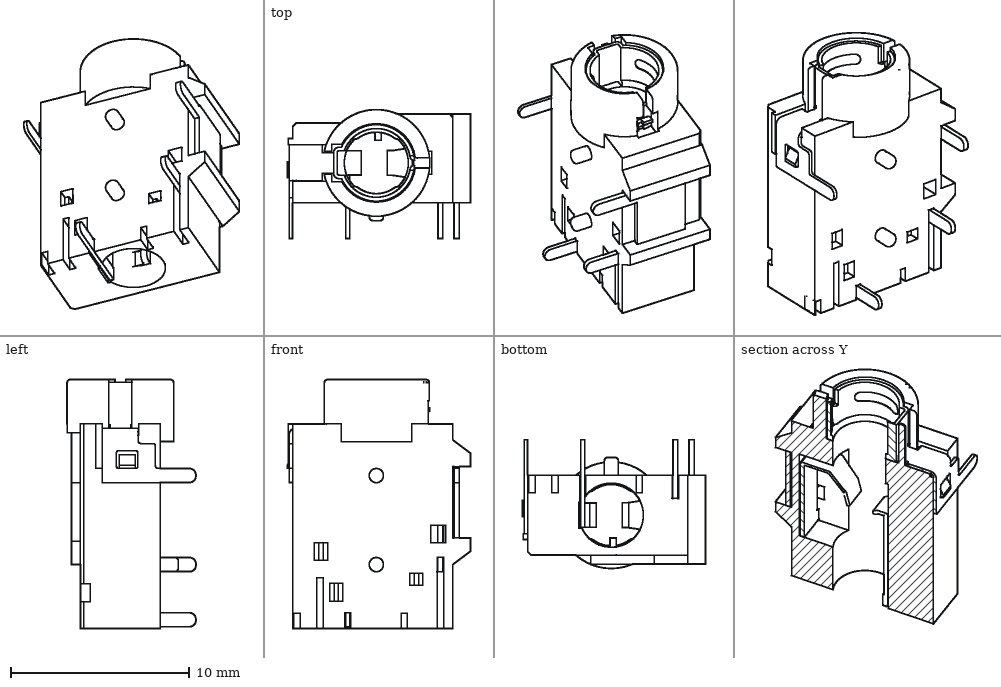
import cadquery as cq
import math


BODY_LEFT = -4.7
BODY_RIGHT = 4.3
BODY_HALF_DEPTH = 2.25
BODY_TOP = 11.5
BACK_CORNER = 0.2
FRONT_FACE = -BODY_HALF_DEPTH

BARREL_RADIUS = 3.0
BARREL_TOP = 14.0
BARREL_FRONT_BOTTOM = 10.5
BARREL_BACK_BOTTOM = 11.0
BARREL_ROUND = 0.2
BORE_RADIUS = 1.8
SLEEVE_SEAT_RADIUS = 2.2

REAR_FACE = 2.75
REAR_BOTTOM = 3.6
REAR_RAMP_LOW = 4.9
REAR_RAMP_HIGH = 8.2
REAR_LEFT_HIGH = -1.15
REAR_LEFT_LOW = 2.4
HOOK_REACH = 1.0
HOOK_TIP = 0.75
HOOK_HEIGHT = 1.5
HOOK_MIDDLE = 7.1
HOOK_INNER_OFFSET = 2.0

PIN_RADIUS = 0.4
PIN_LENGTH = 1.0
PIN_ROUND = 0.2
PIN_HEIGHTS = (3.6, 8.6)

SHEET = 0.2
LEG_END = -4.25
LEG_WIDTH = 0.8
LEG_ROUND = 0.38

CLIP_HALF_WIDTH = 1.03
CLIP_TOP = 11.27
CLIP_BOTTOM = 8.2
CLIP_BEND = 0.4
CLIP_OUTSIDE = BODY_LEFT - SHEET
CLIP_FRONT = -1.0
CLIP_STEP_FRONT = -1.97
CLIP_STEP_TOP = 10.4
CLIP_STEP_ROUND = 0.15
CLIP_WINDOW_WIDTH = 1.2
CLIP_WINDOW_Y = -0.38
CLIP_WINDOW_BOTTOM = 9.0
CLIP_WINDOW_TOP = 10.0
CLIP_WINDOW_ROUND = 0.12
CLIP_END = -3.05
NECK_HALF_WIDTH = 0.58
NECK_BEND = 0.18
SLEEVE_RADIUS = 2.15
SLEEVE_INNER_RADIUS = 1.93
SLEEVE_TOP = 13.85
SLEEVE_BOTTOM = CLIP_TOP - SHEET
BULGE_OUTSIDE = -2.4
BULGE_HALF_WIDTH = 0.88
BULGE_ROUND = 0.3
BEAD_HEIGHT = 12.8
BEAD_RADIUS = 2.07
BEAD_TUBE = 0.35
BEAD_ARC = 72
NOTCH_HALF_WIDTH = 0.4
NOTCH_BOTTOM = 12.8
SLIT_HALF_WIDTH = 0.15
SLIT_ROUND = 0.2
LIP_TOP = 11.45
LIP_ROUND = 0.12
TONGUE_HALF_WIDTH = 0.28
TONGUE_BEND = 0.9
TONGUE_START = 2.1
TONGUE_BASE = 11.5

LUG_WIDTH = 0.91
LUG_REACH = 0.3
LUG_TOP = 9.77
LUG_LIP = 9.18
CLIP_RIB_REACH = 0.25
CLIP_RIB_WIDTH = 0.35
CLIP_RIB_BOTTOM = 9.0

CHANNEL_LEFT = -2.5
CHANNEL_HALF_WIDTH = 1.05
WIDE_SLOT_HALF_WIDTH = 0.65
NARROW_SLOT_HALF_WIDTH = 0.3
NARROW_SLOT_BOTTOM = 12.8
WIDE_SLOT_END = 3.11

TIP_X = -1.72
TIP_LEAF_X = -1.8
TIP_GAUGE = 0.24
TIP_LEG_BOTTOM = 0.1
TIP_HALF_WIDTH = 0.69
TIP_SPRING_TOP = 7.0
TIP_SHELF_END = -1.18
TIP_NOSE_X = -0.96
TIP_NOSE_DROP = 0.12
TIP_CLEARANCE = 0.04

RING_X = 3.46
RING_GAUGE = 0.28
RING_LEG_BOTTOM = 3.2
RING_HALF_WIDTH = 0.85
RING_TIP_HALF_WIDTH = 0.7
RING_SPRING_TOP = 8.6
RING_SPRING_POINTS = ((1.9, 8.6), (0.9, 7.5), (0.7, 6.7))
RING_CAVITY_HALF_WIDTH = 0.95
RING_CAVITY_TOP = 9.2
RING_CLEARANCE = 0.04

SIDE_X = 4.36
SIDE_GAUGE = 0.3
SIDE_PLATE_FRONT = -1.5
SIDE_PLATE_BACK = 1.5

SWITCH_GROOVE_DEPTH = 0.55
SWITCH_BOTTOM = 1.5
SWITCH_HEIGHT = 1.02
SWITCH_LEFT = -3.5
SWITCH_BLADE_LEFT = -0.08
SWITCH_BLADE_RIGHT = 0.28
SWITCH_TIP_Y = 1.27
SWITCH_TIP_ROUND = 0.3

WINDOW_DEPTH = 0.6
GROOVED_WINDOWS = (
    (-3.11, 0.74, 3.83, 4.84),
    (-2.25, 0.74, 1.53, 2.54),
    (2.25, 0.74, 2.43, 3.11),
)
WINDOW_GROOVE_WIDTH = 0.25
WINDOW_GROOVE_DEPTH = 0.4
RING_WINDOW = (3.49, 0.84, 4.84, 5.8)
SLOT_DEPTH = 1.0
SLOT_WIDTH = 0.35
SHORT_SLOT_HEIGHT = 0.86
LONG_SLOT_HEIGHT = 2.87
SHORT_SLOT_CENTRES = (-4.455, 1.575)
LONG_SLOT_CENTRE = -3.165


def block(x0, x1, y0, y1, z0, z1):
    """Box between two opposite corners."""
    return cq.Workplane("XY").box(x1 - x0, y1 - y0, z1 - z0, centered=False).translate((x0, y0, z0))


def cylinder(radius, z0, z1):
    """Cylinder on the barrel axis."""
    return cq.Workplane("XY").workplane(offset=z0).circle(radius).extrude(z1 - z0)


def leg(x0, gauge, z0, inner_y, tip_round=LEG_ROUND):
    """Flat solder leg that ends at LEG_END with rounded corners."""
    blade = block(x0, x0 + gauge, LEG_END, inner_y, z0, z0 + LEG_WIDTH)
    return blade.edges("|X and <Y").fillet(tip_round)


def strip(points, gauge, half_width):
    """Bent sheet strip whose mid line lies in the XZ plane."""
    path = cq.Workplane("XZ").polyline(points).offset2D(gauge / 2)
    return path.extrude(half_width, both=True)


def hook(direction):
    """Wedge on the +X side; direction +1 slopes up and -1 slopes down."""
    inner = HOOK_MIDDLE + direction * HOOK_INNER_OFFSET
    tip_x = BODY_RIGHT + HOOK_REACH
    profile = cq.Workplane("XZ", origin=(0, REAR_FACE, 0)).polyline([
        (BODY_RIGHT - BACK_CORNER, inner),
        (tip_x, inner),
        (tip_x, inner + direction * HOOK_TIP),
        (BODY_RIGHT, inner + direction * HOOK_HEIGHT),
        (BODY_RIGHT - BACK_CORNER, inner + direction * HOOK_HEIGHT),
    ])
    return profile.close().extrude(REAR_FACE + BODY_HALF_DEPTH)


def rear_pad():
    """Thicker wall behind the bore, with an undercut ramp on its left edge."""
    profile = cq.Workplane("XZ", origin=(0, REAR_FACE, 0)).polyline([
        (REAR_LEFT_HIGH, BODY_TOP),
        (BODY_RIGHT, BODY_TOP),
        (BODY_RIGHT, REAR_BOTTOM),
        (REAR_LEFT_LOW, REAR_BOTTOM),
        (REAR_LEFT_LOW, REAR_RAMP_LOW),
        (REAR_LEFT_HIGH, REAR_RAMP_HIGH),
    ])
    pad = profile.close().extrude(REAR_FACE)
    return pad.edges("|Z and >X and >Y").chamfer(BACK_CORNER)


def barrel():
    """Round mouth, reaching lower on the board side than on the back."""
    tube = cylinder(BARREL_RADIUS, BARREL_BACK_BOTTOM, BARREL_TOP).faces(">Z").edges().fillet(BARREL_ROUND)
    front_skirt = cylinder(BARREL_RADIUS, BARREL_FRONT_BOTTOM, BODY_TOP).intersect(
        block(-BARREL_RADIUS, BARREL_RADIUS, -BARREL_RADIUS, 0, BARREL_FRONT_BOTTOM, BODY_TOP)
    )
    return tube.union(front_skirt)


def snap_lug():
    """Ramp that holds the clip by its window."""
    back_y = CLIP_WINDOW_Y + LUG_WIDTH / 2
    profile = cq.Workplane("XZ", origin=(0, back_y, 0)).polyline([
        (BODY_LEFT, LUG_TOP),
        (BODY_LEFT - LUG_REACH, LUG_LIP),
        (BODY_LEFT - LUG_REACH, CLIP_WINDOW_BOTTOM),
        (BODY_LEFT, CLIP_WINDOW_BOTTOM),
    ])
    return profile.close().extrude(LUG_WIDTH)


def locating_pin(height):
    """Round-ended peg on the board face."""
    pin = cq.Workplane("XZ", origin=(0, FRONT_FACE, height)).circle(PIN_RADIUS).extrude(PIN_LENGTH)
    return pin.faces("<Y").edges().fillet(PIN_ROUND)


def face_opening(centre_x, width, z0, z1, depth):
    """Rectangular cutter that enters the board face."""
    half = width / 2
    return block(centre_x - half, centre_x + half, FRONT_FACE, FRONT_FACE + depth, z0, z1)


def sleeve_space():
    """Space in the barrel for the sleeve, its bulge, neck and tongue."""
    space = cylinder(SLEEVE_SEAT_RADIUS, SLEEVE_BOTTOM, BARREL_TOP)
    space = space.union(block(CHANNEL_LEFT, 0, -CHANNEL_HALF_WIDTH, CHANNEL_HALF_WIDTH,
                              SLEEVE_BOTTOM, BARREL_TOP))
    space = space.union(block(-BARREL_RADIUS, 0, -WIDE_SLOT_HALF_WIDTH, WIDE_SLOT_HALF_WIDTH,
                              SLEEVE_BOTTOM, BARREL_TOP))
    space = space.union(block(0, BARREL_RADIUS, -NARROW_SLOT_HALF_WIDTH, NARROW_SLOT_HALF_WIDTH,
                              SLEEVE_BOTTOM, BARREL_TOP))
    return space.union(block(0, WIDE_SLOT_END, -WIDE_SLOT_HALF_WIDTH, WIDE_SLOT_HALF_WIDTH,
                             SLEEVE_BOTTOM, NARROW_SLOT_BOTTOM))


def terminal_spaces():
    """Cutters for the terminals and the switch contact inside the block."""
    tip_left = TIP_X - TIP_CLEARANCE
    tip_right = TIP_X + TIP_GAUGE + TIP_CLEARANCE
    tip_half = TIP_HALF_WIDTH + TIP_CLEARANCE
    tip_slot = block(tip_left, tip_right, FRONT_FACE, 0, 0, TIP_LEG_BOTTOM + LEG_WIDTH)
    tip_cavity = block(TIP_LEAF_X - TIP_CLEARANCE, tip_right, -tip_half, tip_half, 0, RING_CAVITY_TOP)

    ring_left = RING_X - RING_CLEARANCE
    ring_right = RING_X + RING_GAUGE + RING_CLEARANCE
    ring_slot = block(ring_left, ring_right, FRONT_FACE, -RING_CAVITY_HALF_WIDTH,
                      0, RING_LEG_BOTTOM + LEG_WIDTH)
    ring_cavity = block(0, ring_right, -RING_CAVITY_HALF_WIDTH, RING_CAVITY_HALF_WIDTH,
                        RING_LEG_BOTTOM, RING_CAVITY_TOP)
    ring_window = face_opening(*RING_WINDOW, BODY_HALF_DEPTH - RING_CAVITY_HALF_WIDTH)

    switch_top = SWITCH_BOTTOM + SWITCH_HEIGHT
    switch_groove = block(BODY_LEFT, SWITCH_BLADE_RIGHT, BODY_HALF_DEPTH - SWITCH_GROOVE_DEPTH,
                          BODY_HALF_DEPTH, SWITCH_BOTTOM, switch_top)
    switch_slot = block(SWITCH_BLADE_LEFT, SWITCH_BLADE_RIGHT, SWITCH_TIP_Y, BODY_HALF_DEPTH,
                        SWITCH_BOTTOM, switch_top)
    return [tip_slot, tip_cavity, ring_slot, ring_cavity, ring_window, switch_groove, switch_slot]


def board_face_openings():
    """Cutters for the windows and the slots along the bottom edge of the board face."""
    cutters = []
    for centre_x, width, z0, z1 in GROOVED_WINDOWS:
        cutters.append(face_opening(centre_x, width, z0, z1, WINDOW_DEPTH))
        groove_depth = WINDOW_DEPTH + WINDOW_GROOVE_DEPTH
        cutters.append(face_opening(centre_x, WINDOW_GROOVE_WIDTH, z0, z1, groove_depth))
    for centre_x in SHORT_SLOT_CENTRES:
        cutters.append(face_opening(centre_x, SLOT_WIDTH, 0, SHORT_SLOT_HEIGHT, SLOT_DEPTH))
    cutters.append(face_opening(LONG_SLOT_CENTRE, SLOT_WIDTH, 0, LONG_SLOT_HEIGHT, SLOT_DEPTH))
    return cutters


def make_housing():
    """Moulded block with the barrel, hooks, pins and all pockets."""
    body = block(BODY_LEFT, BODY_RIGHT, FRONT_FACE, BODY_HALF_DEPTH, 0, BODY_TOP)
    body = body.edges("|Z and <X and >Y").chamfer(BACK_CORNER)
    body = body.union(rear_pad())
    for direction in (1, -1):
        body = body.union(hook(direction))
    body = body.union(block(BODY_LEFT - CLIP_RIB_REACH, BODY_LEFT, CLIP_HALF_WIDTH,
                            CLIP_HALF_WIDTH + CLIP_RIB_WIDTH, CLIP_RIB_BOTTOM, BODY_TOP))
    body = body.union(snap_lug())

    clip_seat = block(BODY_LEFT, BULGE_OUTSIDE, -CLIP_HALF_WIDTH, CLIP_HALF_WIDTH, SLEEVE_BOTTOM, BODY_TOP)
    corner_round = CLIP_BEND - SHEET
    seat_edge = block(BODY_LEFT, BODY_LEFT + corner_round, -CLIP_HALF_WIDTH, CLIP_HALF_WIDTH,
                      SLEEVE_BOTTOM - corner_round, SLEEVE_BOTTOM)
    body = body.cut(clip_seat).cut(seat_edge)
    body = body.union(barrel())
    body = body.cut(sleeve_space())
    body = body.cut(cylinder(BORE_RADIUS, 0, BARREL_TOP))
    for cutter in terminal_spaces() + board_face_openings():
        body = body.cut(cutter)
    for height in PIN_HEIGHTS:
        body = body.union(locating_pin(height))
    return body


def clip():
    """Bent plate over the top left edge of the block, with a window and a leg."""
    plate = block(CLIP_OUTSIDE, CLIP_END, CLIP_FRONT, CLIP_HALF_WIDTH, CLIP_BOTTOM, CLIP_TOP)
    plate = plate.edges("|Y and <X and >Z").fillet(CLIP_BEND)
    core = block(BODY_LEFT, CLIP_END, CLIP_FRONT, CLIP_HALF_WIDTH, CLIP_BOTTOM, SLEEVE_BOTTOM)
    plate = plate.cut(core.edges("|Y and <X and >Z").fillet(CLIP_BEND - SHEET))

    step = block(CLIP_OUTSIDE, BODY_LEFT, CLIP_STEP_FRONT, 0, CLIP_BOTTOM, CLIP_STEP_TOP)
    step = step.edges("|X and <Y and >Z").fillet(CLIP_STEP_ROUND)
    window = cq.Workplane("YZ", origin=(CLIP_OUTSIDE, 0, 0)).center(
        CLIP_WINDOW_Y, (CLIP_WINDOW_BOTTOM + CLIP_WINDOW_TOP) / 2
    ).rect(CLIP_WINDOW_WIDTH, CLIP_WINDOW_TOP - CLIP_WINDOW_BOTTOM).extrude(SHEET)
    window = window.edges("|X").fillet(CLIP_WINDOW_ROUND)
    plate = plate.union(step).union(leg(CLIP_OUTSIDE, SHEET, CLIP_BOTTOM, 0))
    inner_corners = ((CLIP_FRONT, CLIP_STEP_TOP), (CLIP_STEP_FRONT, CLIP_BOTTOM + LEG_WIDTH))
    for corner_y, corner_z in inner_corners:
        corner = cq.selectors.NearestToPointSelector((BODY_LEFT - SHEET / 2, corner_y, corner_z))
        plate = plate.edges("|X").edges(corner).fillet(CLIP_STEP_ROUND)
    return plate.cut(window)


def sleeve_prism(radius, left, half_width, corner):
    """Round column with a rounded rectangular bulge toward -X."""
    bulge = block(left, 0, -half_width, half_width, SLEEVE_BOTTOM, SLEEVE_TOP)
    bulge = bulge.edges("|Z and <X").fillet(corner)
    return cylinder(radius, SLEEVE_BOTTOM, SLEEVE_TOP).union(bulge)


def bead(mid_angle):
    """Pieces of a raised arc on the inner wall of the sleeve, with round ends."""
    start = mid_angle - BEAD_ARC / 2
    axis_start = (-BEAD_RADIUS, 0)
    axis_end = (-BEAD_RADIUS, 1)
    section = cq.Workplane("XZ", origin=(BEAD_RADIUS, 0, BEAD_HEIGHT)).circle(BEAD_TUBE)
    arc = section.revolve(BEAD_ARC, axis_start, axis_end).rotate((0, 0, 0), (0, 0, 1), start)
    pieces = [arc]
    ball = cq.Workplane("XY").sphere(BEAD_TUBE).translate((BEAD_RADIUS, 0, BEAD_HEIGHT))
    for end_angle in (start, start + BEAD_ARC):
        pieces.append(ball.rotate((0, 0, 0), (0, 0, 1), end_angle))
    envelope = cylinder(SLEEVE_RADIUS, SLEEVE_BOTTOM, SLEEVE_TOP)
    return [piece.intersect(envelope) for piece in pieces]


def neck():
    """Strip from the clip to the bulge, curving up into the sleeve wall."""
    wall_x = BULGE_OUTSIDE
    profile = (
        cq.Workplane("XZ")
        .moveTo(CLIP_END, SLEEVE_BOTTOM)
        .lineTo(wall_x + SHEET, SLEEVE_BOTTOM)
        .lineTo(wall_x + SHEET, CLIP_TOP + NECK_BEND)
        .lineTo(wall_x, CLIP_TOP + NECK_BEND)
        .radiusArc((wall_x - NECK_BEND, CLIP_TOP), NECK_BEND)
        .lineTo(CLIP_END, CLIP_TOP)
        .close()
    )
    return profile.extrude(NECK_HALF_WIDTH, both=True)


def tongue():
    """Quarter-round lip on the +X side of the sleeve, curving outward."""
    inner = TONGUE_BEND - SHEET
    end_x = TONGUE_START + TONGUE_BEND
    profile = (
        cq.Workplane("XZ")
        .moveTo(TONGUE_START, TONGUE_BASE)
        .radiusArc((end_x, TONGUE_BASE + TONGUE_BEND), TONGUE_BEND)
        .lineTo(end_x, TONGUE_BASE + inner)
        .radiusArc((end_x - inner, TONGUE_BASE), -inner)
        .close()
    )
    return profile.extrude(TONGUE_HALF_WIDTH, both=True)


def inner_lip():
    """Rounded shoulder at the lower end of the sleeve, interrupted at the bulge."""
    ring = cylinder(SLEEVE_INNER_RADIUS + SHEET / 2, SLEEVE_BOTTOM, LIP_TOP)
    ring = ring.cut(cylinder(BORE_RADIUS, SLEEVE_BOTTOM, LIP_TOP))
    ring = ring.faces(">Z").edges("%CIRCLE").edges(cq.selectors.RadiusNthSelector(0)).fillet(LIP_ROUND)
    gap = BULGE_HALF_WIDTH - SHEET
    return ring.cut(block(BULGE_OUTSIDE, 0, -gap, gap, SLEEVE_BOTTOM, LIP_TOP))


def make_sleeve_terminal():
    """Contact sleeve lining the barrel, made in one piece with the outside clip."""
    sleeve = sleeve_prism(SLEEVE_RADIUS, BULGE_OUTSIDE, BULGE_HALF_WIDTH, BULGE_ROUND)
    hollow = sleeve_prism(SLEEVE_INNER_RADIUS, BULGE_OUTSIDE + SHEET, BULGE_HALF_WIDTH - SHEET,
                          BULGE_ROUND - SHEET)
    sleeve = sleeve.cut(hollow)
    sleeve = sleeve.cut(block(0, SLEEVE_SEAT_RADIUS, -SLIT_HALF_WIDTH, SLIT_HALF_WIDTH,
                              SLEEVE_BOTTOM, SLEEVE_TOP))
    wall_middle = (SLEEVE_RADIUS + SLEEVE_INNER_RADIUS) / 2
    slit_inner_edges = cq.selectors.BoxSelector(
        (0, -SLIT_HALF_WIDTH - SLIT_ROUND, SLEEVE_BOTTOM),
        (wall_middle, SLIT_HALF_WIDTH + SLIT_ROUND, SLEEVE_TOP),
    )
    sleeve = sleeve.edges("|Z").edges(slit_inner_edges).fillet(SLIT_ROUND)
    sleeve = sleeve.cut(block(0, SLEEVE_SEAT_RADIUS, -NOTCH_HALF_WIDTH, NOTCH_HALF_WIDTH,
                              NOTCH_BOTTOM, SLEEVE_TOP))
    for mid_angle in (90, -90):
        for piece in bead(mid_angle):
            sleeve = sleeve.union(piece)
    return sleeve.union(inner_lip()).union(tongue()).union(neck()).union(clip())


def make_tip_terminal():
    """Upright leaf at the left of the bore, with a hooked nose and a leg at the bottom."""
    middle_x = TIP_LEAF_X + TIP_GAUGE / 2
    shelf_z = TIP_SPRING_TOP - TIP_GAUGE / 2
    leaf = strip(
        [
            (middle_x, TIP_LEG_BOTTOM + TIP_GAUGE / 2),
            (middle_x, shelf_z),
            (TIP_SHELF_END, shelf_z),
            (TIP_NOSE_X, shelf_z - TIP_NOSE_DROP),
        ],
        TIP_GAUGE, TIP_HALF_WIDTH,
    )
    return leaf.union(leg(TIP_X, TIP_GAUGE, TIP_LEG_BOTTOM, TIP_HALF_WIDTH))


def make_ring_terminal():
    """Upright plate at the right, with a tapered leaf leaning into the bore."""
    middle_x = RING_X + RING_GAUGE / 2
    plate = block(RING_X, RING_X + RING_GAUGE, -RING_HALF_WIDTH, RING_HALF_WIDTH,
                  RING_LEG_BOTTOM, RING_SPRING_TOP)
    leaf = strip([(middle_x, RING_SPRING_TOP), *RING_SPRING_POINTS], SHEET, RING_HALF_WIDTH)
    root_x = RING_SPRING_POINTS[0][0]
    nose_x = RING_SPRING_POINTS[1][0]
    taper = cq.Workplane("XY").polyline([
        (0, RING_TIP_HALF_WIDTH),
        (nose_x, RING_TIP_HALF_WIDTH),
        (root_x, RING_HALF_WIDTH),
        (BODY_RIGHT, RING_HALF_WIDTH),
        (BODY_RIGHT, -RING_HALF_WIDTH),
        (root_x, -RING_HALF_WIDTH),
        (nose_x, -RING_TIP_HALF_WIDTH),
        (0, -RING_TIP_HALF_WIDTH),
    ]).close().extrude(BODY_TOP)
    leaf = leaf.intersect(taper)
    round_tip = LEG_WIDTH / 2 - RING_CLEARANCE
    return plate.union(leaf).union(leg(RING_X, RING_GAUGE, RING_LEG_BOTTOM, RING_HALF_WIDTH, round_tip))


def make_side_terminal():
    """Plate held between the two hooks, with its leg under the upper hook."""
    bottom = HOOK_MIDDLE - HOOK_INNER_OFFSET
    top = HOOK_MIDDLE + HOOK_INNER_OFFSET
    plate = block(SIDE_X, SIDE_X + SIDE_GAUGE, SIDE_PLATE_FRONT, SIDE_PLATE_BACK, bottom, top)
    return plate.union(leg(SIDE_X, SIDE_GAUGE, CLIP_BOTTOM, 0))


def make_switch_contact():
    """Bar in the back groove with a blade whose rounded tip reaches into the bore."""
    top = SWITCH_BOTTOM + SWITCH_HEIGHT
    bar = block(SWITCH_LEFT, SWITCH_BLADE_RIGHT, BODY_HALF_DEPTH - SWITCH_GROOVE_DEPTH,
                BODY_HALF_DEPTH, SWITCH_BOTTOM, top)
    blade = block(SWITCH_BLADE_LEFT, SWITCH_BLADE_RIGHT, SWITCH_TIP_Y, BODY_HALF_DEPTH, SWITCH_BOTTOM, top)
    return bar.union(blade.edges("|X and <Y").fillet(SWITCH_TIP_ROUND))


housing = make_housing()
sleeve_terminal = make_sleeve_terminal()
tip_terminal = make_tip_terminal()
ring_terminal = make_ring_terminal()
side_terminal = make_side_terminal()
switch_contact = make_switch_contact()

result = cq.Compound.makeCompound([
    housing.val(),
    sleeve_terminal.val(),
    tip_terminal.val(),
    ring_terminal.val(),
    side_terminal.val(),
    switch_contact.val(),
])